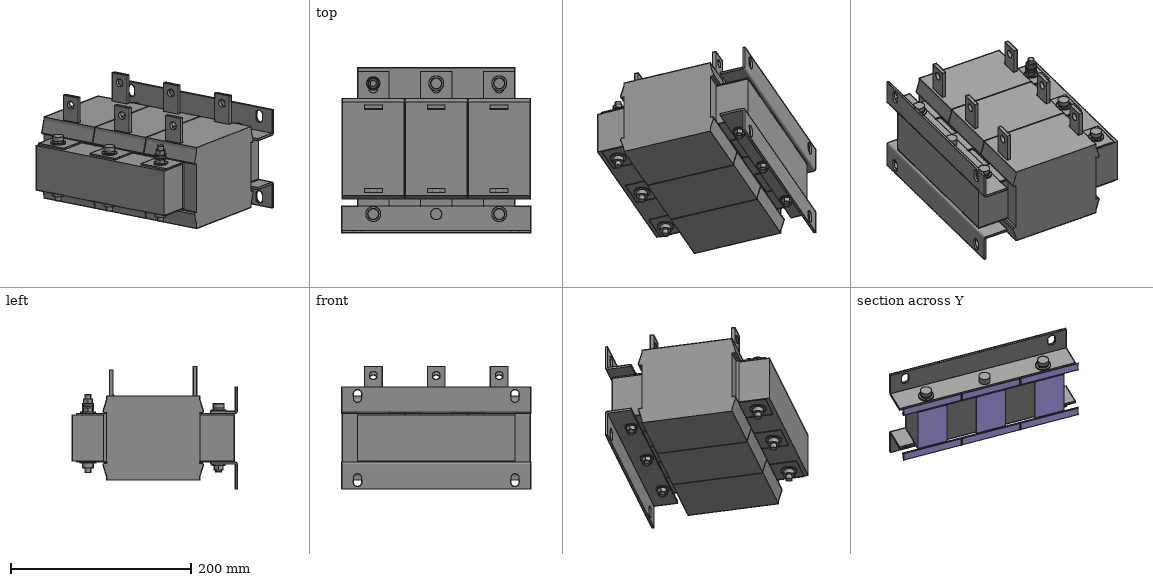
import cadquery as cq
import math


pitch = 70.0
phase_xs = [-pitch, 0, pitch]
leg_width = pitch / 2
core_length = 2 * pitch + leg_width
core_inset = 0.2
gap_strip_length = core_length - 2 * core_inset
core_depth = 180.2
core_height = 51.5
core_top = core_height / 2
window_half_depth = 55.0
bolt_y = (core_depth / 2 + window_half_depth) / 2

plate_rear_y = 85.5
plate_width = leg_width - 2 * core_inset
top_plate_thickness = 1.7
bottom_plate_thickness = 0.8
top_plate_z = core_top + top_plate_thickness
bottom_plate_z = -core_top - bottom_plate_thickness
slot_width = 9.9
slot_inner_y = 62.0

coil_width = 69.0
coil_depth = 103.5
coil_height = 93.7
lip_reach = 4.2
lip_start_drop = 3.8
lip_tip_z = 29.5
lip_underside_z = 28.0
lip_tip_bevel = 1.5

tab_width = 20.0
tab_thickness = 4.2
tab_hole_diameter = 8.8
tab_hole_drop = 10.0
front_tab_y = -46.5
rear_tab_y = 46.6
front_tab_top = 79.5
rear_tab_top = 75.5
tab_foot_height = 2.7
tab_foot_radius = 4.8

bracket_length = 210
bracket_thickness = 2.5
bracket_bend_radius = 3.0
overall_depth = 183.5
bracket_front_y = core_depth / 2 - overall_depth
bracket_flange = 29.6
bracket_tip_z = 56.7
bracket_slot_x = core_length / 2
bracket_slot_z = 46.6
bracket_slot_width = 9.0
bracket_slot_height = 14.0

stud_diameter = 6.7
head_diameter = 12.4
head_height = 5.0
spring_washer_diameter = 11.8
spring_washer_height = 2.0
washer_diameter = 16.5
washer_thickness = 1.3
nut_flats = 9.9
nut_height = 5.0
front_nut_washer_diameter = 14.5
front_stud_end = 2.3
rear_washer_diameter = 17.8
rear_collar_diameter = 12.2
rear_collar_height = 5.2
rear_stud_end = 5.5
ground_base_diameter = 14.7
ground_nut_height = 4.6
ground_washer_diameter = 12.2
ground_washer_height = 1.5
ground_stud_end = 4.8


def block(x_size, y_range, z_range, x=0):
    """Box centred on x, between two Y and two Z values."""
    y_low, y_high = y_range
    z_low, z_high = z_range
    box = cq.Workplane("XY").box(x_size, y_high - y_low, z_high - z_low, centered=(True, False, False))
    return box.translate((x, y_low, z_low))


def stack(x, y, z, direction, layers):
    """Pile round or hexagonal layers from z, going up (1) or down (-1)."""
    pile = None
    for shape, size, height in layers:
        sketch = cq.Workplane("XY", origin=(x, y, z))
        if shape == "hex":
            outline = sketch.polygon(6, size / math.cos(math.pi / 6))
        else:
            outline = sketch.circle(size / 2)
        layer = outline.extrude(direction * height)
        pile = layer if pile is None else pile.union(layer)
        z += direction * height
    return pile


def make_core():
    half_depth = core_depth / 2
    z_range = (-core_top, core_top)
    gap_strip = block(gap_strip_length, (coil_depth / 2, window_half_depth), z_range)
    core = block(core_length, (window_half_depth, half_depth), z_range)
    core = core.union(gap_strip)
    core = core.union(block(core_length, (-half_depth, -window_half_depth), z_range))
    for x in phase_xs:
        core = core.union(block(leg_width, (-half_depth, coil_depth / 2), z_range, x))
    return core


def make_plates(x):
    y_range = (core_inset - core_depth / 2, plate_rear_y)
    top = block(plate_width, y_range, (core_top, top_plate_z), x)
    slot_outer_y = bolt_y + slot_width / 2
    slot_length = slot_outer_y - slot_inner_y
    slot = (
        cq.Workplane("XY", origin=(x, (slot_inner_y + slot_outer_y) / 2, core_top))
        .slot2D(slot_length, slot_width, 90)
        .extrude(top_plate_thickness)
    )
    return top.cut(slot).union(block(plate_width, y_range, (bottom_plate_z, -core_top), x))


def make_coil(x):
    side = coil_depth / 2
    end = coil_height / 2
    tip = side + lip_reach
    quarter = [
        (side, lip_underside_z),
        (tip - lip_tip_bevel, lip_underside_z),
        (tip, lip_tip_z),
        (side, end - lip_start_drop),
        (side, end),
    ]
    upper = quarter + [(-y, z) for y, z in reversed(quarter)]
    lower = [(-y, -z) for y, z in upper]
    profile = cq.Workplane("YZ", origin=(x, 0, 0)).polyline(upper + lower).close()
    return profile.extrude(coil_width / 2, both=True)


def make_tab(x, y, top):
    tab = block(tab_width, (y - tab_thickness / 2, y + tab_thickness / 2), (coil_height / 2, top), x)
    hole = (
        cq.Workplane("XZ", origin=(x, y, top - tab_hole_drop))
        .circle(tab_hole_diameter / 2)
        .extrude(tab_thickness, both=True)
    )
    return tab.cut(hole)


def make_rear_tab_foot(x):
    """Hollow-curved root along the inner base of a rear tab."""
    inner_y = rear_tab_y - tab_thickness / 2
    base_z = coil_height / 2

    def curve_point(height):
        """Point on the curve, which runs out tangent to the tab at the foot's top."""
        drop = tab_foot_height - height
        reach = tab_foot_radius - math.sqrt(tab_foot_radius**2 - drop**2)
        return (inner_y - reach, base_z + height)

    root = (
        cq.Workplane("YZ", origin=(x, 0, 0))
        .moveTo(inner_y, base_z)
        .lineTo(*curve_point(0))
        .threePointArc(curve_point(tab_foot_height / 2), curve_point(tab_foot_height))
        .close()
    )
    return root.extrude(tab_width / 2, both=True)


def make_bracket(seat_z, direction):
    """Angle bracket lying on seat_z, its upright pointing up (1) or down (-1)."""
    flange_z = seat_z + direction * bracket_thickness
    tip_z = direction * bracket_tip_z
    back_y = bracket_front_y + bracket_thickness
    bend = bracket_bend_radius
    bend_middle = (
        bracket_front_y + bend * (1 - math.sqrt(0.5)),
        seat_z + direction * bend * (1 - math.sqrt(0.5)),
    )
    bracket = (
        cq.Workplane("YZ")
        .moveTo(bracket_front_y + bracket_flange, seat_z)
        .lineTo(bracket_front_y + bend, seat_z)
        .threePointArc(bend_middle, (bracket_front_y, seat_z + direction * bend))
        .lineTo(bracket_front_y, tip_z)
        .lineTo(back_y, tip_z)
        .lineTo(back_y, flange_z)
        .lineTo(bracket_front_y + bracket_flange, flange_z)
        .close()
        .extrude(bracket_length / 2, both=True)
    )
    slots = (
        cq.Workplane("XZ", origin=(0, bracket_front_y, direction * bracket_slot_z))
        .pushPoints([(-bracket_slot_x, 0), (bracket_slot_x, 0)])
        .slot2D(bracket_slot_height, bracket_slot_width, 90)
        .extrude(-bracket_thickness)
    )
    return bracket.cut(slots)


def make_front_bolt(x):
    """Bolt clamping both brackets; the middle one has no washer under its head."""
    top_z = top_plate_z + bracket_thickness
    bottom_z = bottom_plate_z - bracket_thickness
    if x == 0:
        head_layers = [("round", head_diameter, spring_washer_height + head_height)]
    else:
        head_layers = [
            ("round", washer_diameter, washer_thickness),
            ("round", spring_washer_diameter, spring_washer_height),
            ("round", head_diameter, head_height),
        ]
    nut_layers = [
        ("round", front_nut_washer_diameter, washer_thickness),
        ("hex", nut_flats, nut_height),
        ("round", stud_diameter, front_stud_end),
    ]
    bolt = stack(x, -bolt_y, top_z, 1, head_layers)
    return bolt.union(stack(x, -bolt_y, bottom_z, -1, nut_layers))


def make_rear_bolt(x):
    """Bolt through the rear yoke; the one at -X is a ground stud with nuts."""
    if x == phase_xs[0]:
        top_layers = [
            ("round", ground_base_diameter, washer_thickness),
            ("hex", nut_flats, ground_nut_height),
            ("round", ground_washer_diameter, ground_washer_height),
            ("round", spring_washer_diameter, spring_washer_height),
            ("round", ground_washer_diameter, ground_washer_height),
            ("hex", nut_flats, nut_height),
            ("round", stud_diameter, ground_stud_end),
        ]
    else:
        top_layers = [
            ("round", washer_diameter, washer_thickness),
            ("round", spring_washer_diameter, spring_washer_height),
            ("round", head_diameter, head_height),
        ]
    bottom_layers = [
        ("round", rear_washer_diameter, washer_thickness),
        ("round", rear_collar_diameter, rear_collar_height),
        ("round", stud_diameter, rear_stud_end),
    ]
    shank = stack(x, bolt_y, core_top, 1, [("round", stud_diameter, top_plate_thickness)])
    bolt = shank.union(stack(x, bolt_y, top_plate_z, 1, top_layers))
    return bolt.union(stack(x, bolt_y, bottom_plate_z, -1, bottom_layers))


result = make_core()
for phase_x in phase_xs:
    result = result.union(make_plates(phase_x))
    result = result.union(make_coil(phase_x))
    result = result.union(make_tab(phase_x, front_tab_y, front_tab_top))
    result = result.union(make_tab(phase_x, rear_tab_y, rear_tab_top))
    result = result.union(make_rear_tab_foot(phase_x))
result = result.union(make_bracket(top_plate_z, 1))
result = result.union(make_bracket(bottom_plate_z, -1))
for phase_x in phase_xs:
    result = result.union(make_front_bolt(phase_x))
    result = result.union(make_rear_bolt(phase_x))